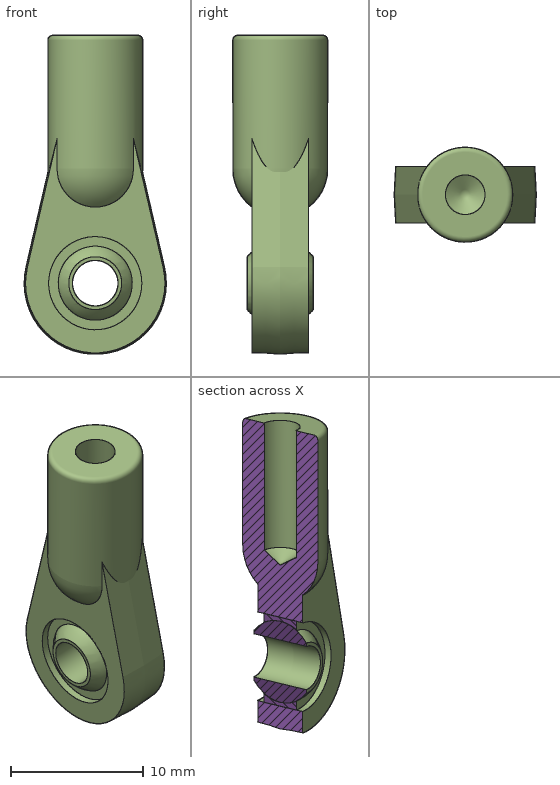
import cadquery as cq
import math

total_height = 24.1
bore_axis_height = 5.38

eye_radius = bore_axis_height
plate_thickness = 4.3
flank_angle = 13.0
draft_angle = 3.0
plate_top = 17.35

stem_radius = 3.6
stem_round_end = 14.0
stem_top_fillet = 0.39
hole_radius = 1.5
hole_depth = 10.13
drill_point_angle = 118.0

race_radius = 3.52
ball_radius = 3.2
ball_width = 5.01
ball_hole_radius = 1.7
ball_mouth_radius = 2.8
race_width = 2 * math.sqrt(ball_radius**2 - ball_mouth_radius**2)


def y_cylinder(radius, length):
    """Cylinder on the bore axis, centred on Y = 0."""
    return (
        cq.Workplane("XZ", origin=(0, 0, bore_axis_height))
        .circle(radius)
        .extrude(length / 2, both=True)
    )


def ball_sphere():
    return cq.Workplane("XY").sphere(ball_radius).translate((0, 0, bore_axis_height))


def make_plate():
    """Teardrop plate in two mirrored halves, each drafted away from Y = 0."""
    angle = math.radians(flank_angle)
    tangent_x = eye_radius * math.cos(angle)
    tangent_z = bore_axis_height + eye_radius * math.sin(angle)
    top_x = tangent_x - (plate_top - tangent_z) * math.tan(angle)
    half_plate = (
        cq.Workplane("XZ")
        .moveTo(-top_x, plate_top)
        .lineTo(-tangent_x, tangent_z)
        .threePointArc((0, bore_axis_height - eye_radius), (tangent_x, tangent_z))
        .lineTo(top_x, plate_top)
        .close()
        .extrude(plate_thickness / 2, taper=draft_angle)
    )
    return half_plate.union(half_plate.mirror("XZ"))


def make_stem():
    """Round stem with a filleted top and a spherical lower end."""
    stem = (
        cq.Workplane("XY")
        .workplane(offset=stem_round_end)
        .circle(stem_radius)
        .extrude(total_height - stem_round_end)
        .faces(">Z")
        .edges()
        .fillet(stem_top_fillet)
    )
    round_end = cq.Workplane("XY").sphere(stem_radius).translate((0, 0, stem_round_end))
    return stem.union(round_end)


def make_stem_hole():
    """Blind hole from the top of the stem, ending in a drill point."""
    hole_floor = total_height - hole_depth
    point_depth = hole_radius / math.tan(math.radians(drill_point_angle / 2))
    return (
        cq.Workplane("XZ")
        .moveTo(0, total_height)
        .lineTo(hole_radius, total_height)
        .lineTo(hole_radius, hole_floor)
        .lineTo(0, hole_floor - point_depth)
        .close()
        .revolve(360, (0, 0, 0), (0, 1, 0))
    )


def make_housing():
    eye_bore = y_cylinder(race_radius, plate_thickness)
    return make_plate().union(make_stem()).cut(make_stem_hole()).cut(eye_bore)


def make_race():
    """Ring recessed in the eye, with a spherical seat for the ball."""
    return y_cylinder(race_radius, race_width).cut(ball_sphere())


def make_ball():
    """Sphere with two flats and a through hole along Y."""
    flats = y_cylinder(ball_radius, ball_width)
    return ball_sphere().intersect(flats).cut(y_cylinder(ball_hole_radius, ball_width))


housing = make_housing()
race = make_race()
ball = make_ball()

result = cq.Compound.makeCompound([body.solids().val() for body in (housing, race, ball)])